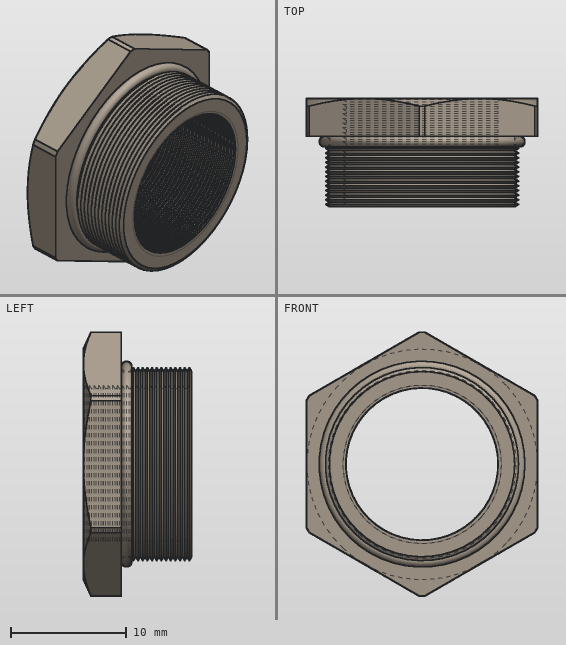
import cadquery as cq
import math

across_flats = 20.07
across_corners = 22.88
overall_length = 9.4
flange_thickness = 3.3
chamfer_depth = 0.66
chamfer_radius = 10.0

outer_crest_radius = 8.37
outer_root_radius = 8.03
outer_thread_length = 5.26
outer_tooth_count = 13
inner_crest_radius = 6.6
inner_root_radius = 6.86
inner_crest_setback = 0.01

ring_outer_radius = 8.92
ring_section_radius = 0.45

front_y = -overall_length / 2
back_y = overall_length / 2
flange_front_y = back_y - flange_thickness
ring_center_radius = ring_outer_radius - ring_section_radius
ring_center_y = flange_front_y - ring_section_radius
groove_front_y = flange_front_y - 2 * ring_section_radius
groove_radius = ring_center_radius - ring_section_radius
thread_pitch = outer_thread_length / outer_tooth_count
inner_land_width = thread_pitch / 2
inner_tooth_count = math.ceil(overall_length / thread_pitch)


def outer_thread_profile():
    """Radius and Y points of symmetric V teeth, starting at a root on the front face."""
    points = [(outer_root_radius, front_y)]
    for tooth in range(outer_tooth_count):
        tooth_front_y = front_y + tooth * thread_pitch
        points.append((outer_crest_radius, tooth_front_y + thread_pitch / 2))
        points.append((outer_root_radius, tooth_front_y + thread_pitch))
    return points


def inner_thread_profile():
    """Radius and Y points of flat-crested teeth with steep front and sloping back flanks."""
    points = [(inner_root_radius, front_y)]
    for tooth in range(inner_tooth_count):
        tooth_front_y = front_y + tooth * thread_pitch
        land_start_y = tooth_front_y + inner_crest_setback
        points.append((inner_crest_radius, land_start_y))
        points.append((inner_crest_radius, land_start_y + inner_land_width))
        points.append((inner_root_radius, tooth_front_y + thread_pitch))
    return points


def revolve_profile(points):
    """Solid of revolution about Y from a closed (radius, Y) outline."""
    return cq.Workplane("XY").polyline(points).close().revolve(360, (0, 0, 0), (0, 1, 0))


def cylinder(radius, start_y, end_y):
    return revolve_profile([(0, start_y), (radius, start_y), (radius, end_y), (0, end_y)])


def make_flange():
    """Hexagon with two flats facing X, turned corners and a conical back chamfer."""
    hexagon = (
        cq.Workplane("XZ", origin=(0, back_y, 0))
        .transformed(rotate=(0, 0, 90))
        .polygon(6, across_flats / math.cos(math.pi / 6))
        .extrude(flange_thickness)
    )
    corner_radius = across_corners / 2
    turned_blank = revolve_profile([
        (0, flange_front_y),
        (corner_radius, flange_front_y),
        (corner_radius, back_y - chamfer_depth),
        (chamfer_radius, back_y),
        (0, back_y),
    ])
    return hexagon.intersect(turned_blank)


def make_spigot():
    """Spigot with symmetric V teeth and a plain groove next to the flange for the ring."""
    threaded = revolve_profile(
        [(0, front_y)] + outer_thread_profile() + [(outer_root_radius, flange_front_y), (0, flange_front_y)]
    )
    groove = cylinder(across_corners / 2, groove_front_y, flange_front_y).cut(
        cylinder(groove_radius, groove_front_y, flange_front_y)
    )
    return threaded.cut(groove)


def make_bore():
    """Cutter for the through bore that leaves the inner teeth standing."""
    teeth = inner_thread_profile()
    thread_end_y = teeth[-1][1]
    return revolve_profile([(0, front_y)] + teeth + [(0, thread_end_y)])


def make_fitting():
    return make_flange().union(make_spigot()).cut(make_bore()).solids()


def make_seal_ring():
    """Round-section ring seated in the groove against the flange."""
    return (
        cq.Workplane("XY")
        .center(ring_center_radius, ring_center_y)
        .circle(ring_section_radius)
        .revolve(360, (-ring_center_radius, 0, 0), (-ring_center_radius, 1, 0))
    )


fitting = make_fitting()
seal_ring = make_seal_ring()
result = cq.Compound.makeCompound([fitting.val(), seal_ring.val()])